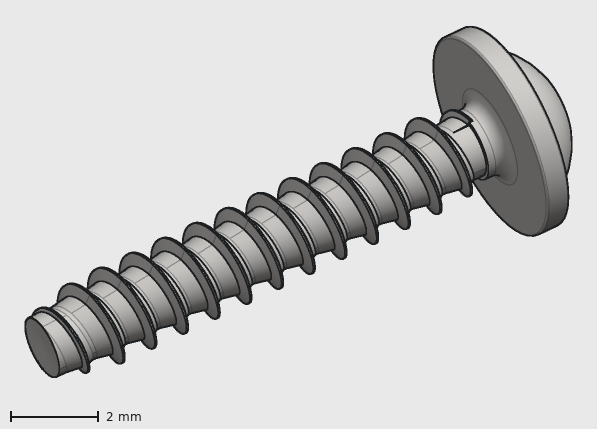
import cadquery as cq
import math


head_height = 1.6
flange_diameter = 5.0
flange_thickness = 0.6
flange_edge_radius = 0.05
dome_base_radius = 2.0
dome_top_radius = 0.96

shank_length = 12.0
core_radius = 0.745
neck_radius = 0.84
neck_length = 0.55
neck_fillet_radius = 0.36
tip_recess_depth = 0.05

thread_radius = 1.1
pitch = 0.85
first_crest_depth = 0.51
thread_turns = 13.5
run_in_turns = 1.0
run_out_turns = 1.5
run_in_start_height = 0.45
run_out_end_height = 0.05
crest_width = 0.05
foot_radius = 0.82
foot_width = 0.26
root_sink = 0.01
head_side_reach = 0.27
tip_side_reach = 0.57
curve_points_per_turn = 24


def make_head():
    """Flange with rounded rims, capped by a flat-topped spherical dome."""
    flange = (
        cq.Workplane("XZ")
        .circle(flange_diameter / 2)
        .extrude(-flange_thickness)
        .edges()
        .fillet(flange_edge_radius)
    )

    dome_height = head_height - flange_thickness
    centre_below_base = (
        dome_base_radius**2 - dome_top_radius**2 - dome_height**2
    ) / (2 * dome_height)
    sphere_radius = math.hypot(dome_base_radius, centre_below_base)
    sphere_centre_y = flange_thickness - centre_below_base
    mid_angle = (
        math.atan2(centre_below_base, dome_base_radius)
        + math.atan2(centre_below_base + dome_height, dome_top_radius)
    ) / 2
    arc_middle = (
        sphere_radius * math.cos(mid_angle),
        sphere_centre_y + sphere_radius * math.sin(mid_angle),
    )
    dome = (
        cq.Workplane("XY")
        .moveTo(0, flange_thickness / 2)
        .lineTo(dome_base_radius, flange_thickness / 2)
        .lineTo(dome_base_radius, flange_thickness)
        .threePointArc(arc_middle, (dome_top_radius, head_height))
        .lineTo(0, head_height)
        .close()
        .revolve(360, (0, 0, 0), (0, 1, 0))
    )
    return flange.union(dome)


def make_shank():
    """Filleted neck and plain core, with a shallow conical hollow in the tip."""
    fillet_outer_radius = neck_radius + neck_fillet_radius
    return (
        cq.Workplane("XY")
        .moveTo(0, flange_thickness / 2)
        .lineTo(fillet_outer_radius, flange_thickness / 2)
        .lineTo(fillet_outer_radius, 0)
        .radiusArc((neck_radius, -neck_fillet_radius), -neck_fillet_radius)
        .lineTo(neck_radius, -neck_length)
        .lineTo(core_radius, -neck_length)
        .lineTo(core_radius, -shank_length)
        .lineTo(0, tip_recess_depth - shank_length)
        .close()
        .revolve(360, (0, 0, 0), (0, 1, 0))
    )


def ridge_height_fraction(turn):
    """Fraction of the full ridge height: rising, then constant, then fading."""
    run_in = run_in_start_height + (1 - run_in_start_height) * turn / run_in_turns
    turns_left = thread_turns - turn
    run_out = run_out_end_height + (1 - run_out_end_height) * turns_left / run_out_turns
    return min(1, run_in, run_out)


def thread_section(turn):
    """Ridge outline at a given turn, as (offset toward the tip, radius) pairs."""
    fraction = ridge_height_fraction(turn)
    crest = core_radius + fraction * (thread_radius - core_radius)
    foot = core_radius + fraction * (foot_radius - core_radius)
    root = core_radius - root_sink
    half_crest = crest_width / 2
    half_foot = half_crest + fraction * (foot_width - crest_width) / 2
    return [
        (-head_side_reach, root),
        (-half_foot, foot),
        (-half_crest, crest),
        (half_crest, crest),
        (half_foot, foot),
        (tip_side_reach, root),
    ]


def section_points(turn):
    """Ridge outline corners in space; turn 0 is at +Z and the ridge winds toward -X."""
    angle = 2 * math.pi * turn
    crest_depth = first_crest_depth + pitch * turn
    return [
        cq.Vector(-radius * math.sin(angle), -crest_depth - offset, radius * math.cos(angle))
        for offset, radius in thread_section(turn)
    ]


def make_thread():
    """Helical ridge made turn by turn from ruled faces between helical edges."""
    breaks = list(range(math.ceil(thread_turns))) + [thread_turns]
    faces = []
    for start, end in zip(breaks, breaks[1:]):
        steps = math.ceil((end - start) * curve_points_per_turn)
        sections = [
            section_points(start + (end - start) * step / steps)
            for step in range(steps + 1)
        ]
        helices = [cq.Edge.makeSpline(list(corner_path)) for corner_path in zip(*sections)]
        next_helices = helices[1:] + helices[:1]
        for helix, next_helix in zip(helices, next_helices):
            faces.append(cq.Face.makeRuledSurface(helix, next_helix))
    for turn in (0, thread_turns):
        outline = cq.Wire.makePolygon(section_points(turn), close=True)
        faces.append(cq.Face.makeFromWires(outline))
    return cq.Workplane(obj=cq.Solid.makeSolid(cq.Shell.makeShell(faces)).fix())


def keep_above_tip(body):
    """Trim everything that reaches past the tip plane."""
    envelope = (
        cq.Workplane("XZ")
        .circle(flange_diameter)
        .extrude(shank_length)
    )
    return body.intersect(envelope)


screw = make_head().union(make_shank()).union(keep_above_tip(make_thread()))
result = cq.Workplane(obj=screw.solids().val())